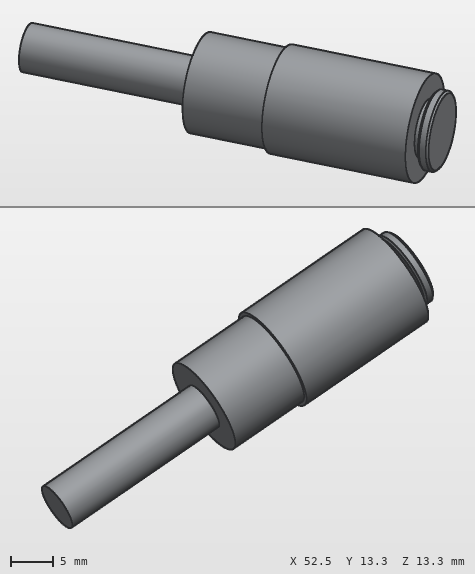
import cadquery as cq

total_length = 52.55
body_diameter = 13.3

stem_diameter = 6.0
stem_length = 21.9
shoulder_diameter = 12.3
shoulder_length = 10.25
body_length = 18.2

neck_diameter = 7.15
flange_diameter = 9.9
flange_length = 1.35
flange_chamfer = 0.25

neck_length = total_length - stem_length - shoulder_length - body_length - flange_length


def cylinder(start, length, diameter):
    """Solid cylinder along +X beginning at the given X position."""
    return cq.Workplane("YZ", origin=(start, 0, 0)).circle(diameter / 2).extrude(length)


stem_start = -total_length / 2
shoulder_start = stem_start + stem_length
body_start = shoulder_start + shoulder_length
neck_start = body_start + body_length
flange_start = neck_start + neck_length

stem = cylinder(stem_start, stem_length, stem_diameter)
shoulder = cylinder(shoulder_start, shoulder_length, shoulder_diameter)
body = cylinder(body_start, body_length, body_diameter)
neck = cylinder(neck_start, neck_length, neck_diameter)
flange = cylinder(flange_start, flange_length, flange_diameter).edges().chamfer(flange_chamfer)

result = stem.union(shoulder).union(body).union(neck).union(flange)